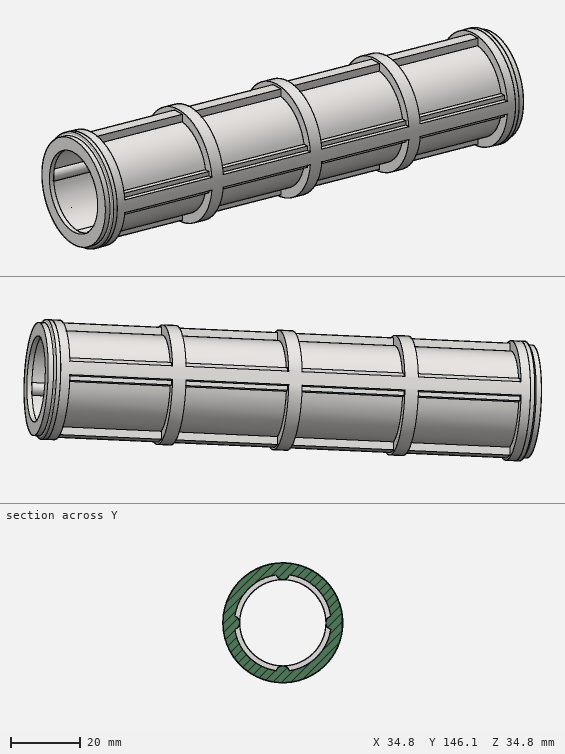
import cadquery as cq
length = 146.05
lip_diameter = 34.8
band_diameter = 34.67
tube_diameter = 28.7
tube_wall = 0.4
end_bore_diameter = 24.89

collar_length = 6.25
end_ring_length = 1.5
spigot_diameter = 32.8
spigot_length = 1.6
bevel_break_start = 1.95
bevel_break_diameter = 34.0
lip_rim_start = 2.25
lip_rim_end = 3.5

band_count = 3
band_width = 4.0

rib_width = 4.0
flat_rib_height = 16.55
side_pad_width = 6.65
side_pad_height = 15.64
rod_radius = 2.0

half_length = length / 2
lip_radius = lip_diameter / 2
band_radius = band_diameter / 2
tube_radius = tube_diameter / 2
bevel_break_radius = bevel_break_diameter / 2
spigot_radius = spigot_diameter / 2
end_bore_radius = end_bore_diameter / 2
tube_bore_radius = tube_radius - tube_wall
rod_offset = end_bore_radius + rod_radius
collar_start = half_length - collar_length
bay_length = (2 * collar_start - band_count * band_width) / (band_count + 1)
band_pitch = bay_length + band_width


def cylinder(radius, span, center_x=0, center_z=0):
    """Solid cylinder along Y, centered lengthwise."""
    workplane = cq.Workplane("XZ", origin=(center_x, span / 2, center_z))
    return workplane.circle(radius).extrude(span)


def make_blank():
    """Turned blank: band-sized barrel with a beveled sealing lip and a spigot at each end."""
    lip_inner = half_length - lip_rim_end
    lip_outer = half_length - lip_rim_start
    bevel_break = half_length - bevel_break_start
    spigot_start = half_length - spigot_length
    return (
        cq.Workplane("XY")
        .moveTo(0, -half_length)
        .lineTo(spigot_radius, -half_length)
        .lineTo(spigot_radius, -spigot_start)
        .lineTo(bevel_break_radius, -bevel_break)
        .lineTo(lip_radius, -lip_outer)
        .lineTo(lip_radius, -lip_inner)
        .lineTo(band_radius, -lip_inner)
        .lineTo(band_radius, lip_inner)
        .lineTo(lip_radius, lip_inner)
        .lineTo(lip_radius, lip_outer)
        .lineTo(bevel_break_radius, bevel_break)
        .lineTo(spigot_radius, spigot_start)
        .lineTo(spigot_radius, half_length)
        .lineTo(0, half_length)
        .close()
        .revolve(360, (0, 0, 0), (0, 1, 0))
    )


def make_bay():
    """Material removed in one bay, down to the tube and around the lengthwise ribs."""
    tube = cylinder(tube_radius, bay_length)
    flat_ribs = cq.Workplane("XY").box(rib_width, bay_length, 2 * flat_rib_height)
    side_pads = cq.Workplane("XY").box(2 * side_pad_height, bay_length, side_pad_width)
    side_ribs = cq.Workplane("XY").box(2 * lip_diameter, bay_length, rib_width)
    kept = tube.union(flat_ribs).union(side_pads).union(side_ribs)
    return cylinder(lip_radius, bay_length).cut(kept)


def cut_bays(body):
    """Open the bays between the collars and bands, evenly spaced along the tube."""
    bay = make_bay()
    for index in range(band_count + 1):
        position = (index - band_count / 2) * band_pitch
        body = body.cut(bay.translate((0, position, 0)))
    return body


def make_bore():
    """Narrow bore at the ends, wider inside, leaving four round rods along the wall."""
    wide_span = length - 2 * end_ring_length
    wide_bore = cylinder(tube_bore_radius, wide_span)
    for direction_x, direction_z in ((1, 0), (0, 1), (-1, 0), (0, -1)):
        rod = cylinder(rod_radius, wide_span, direction_x * rod_offset, direction_z * rod_offset)
        wide_bore = wide_bore.cut(rod)
    return wide_bore.union(cylinder(end_bore_radius, length))


result = cut_bays(make_blank()).cut(make_bore())